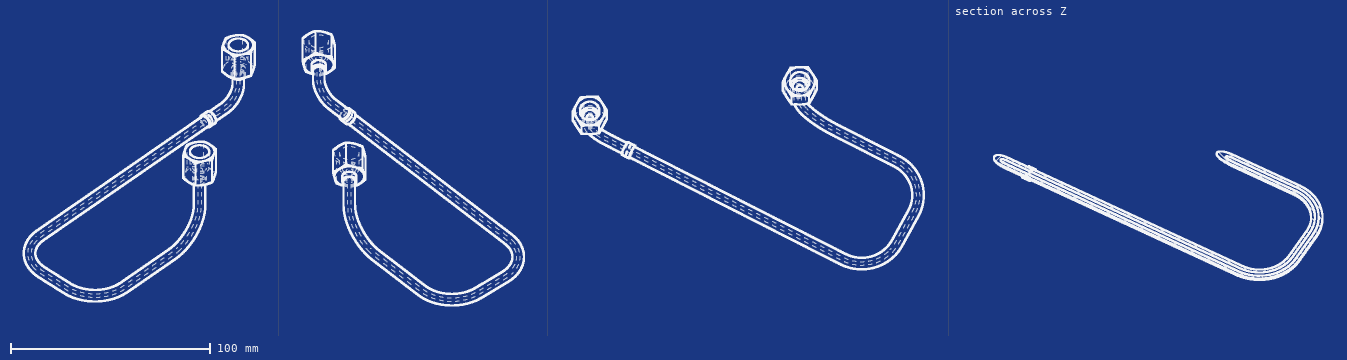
import cadquery as cq
import math


overall_width = 75.0
overall_length = 174.2
overall_height = 59.4

nut_across_flats = 15.0
nut_flat_radius = nut_across_flats / 2
nut_corner_radius = nut_across_flats / math.sqrt(3)
nut_height = 16.0
nut_bore_diameter = 9.8
nut_bore_depth = 10.5
nut_chamfer_angle = 30
seat_half_angle = 49
port_diameter = 3.1
neck_length = 3.1

pipe_diameter = 6.0
pipe_bore_diameter = 1.7
elbow_bend_radius = 10.0
pipe_bend_radius = 20.0
flange_thickness = 1.0

collar_diameter = 7.1
sleeve_length = 4.2
sleeve_start_y = -19.9
joint_y = sleeve_start_y - sleeve_length / 2

riser_spacing = overall_width - 2 * nut_corner_radius
right_riser_y = -88.6
run_end_y = nut_flat_radius + pipe_diameter / 2 - overall_length
right_nut_base_z = overall_height - collar_diameter / 2 - nut_height
nut_drop = 20.0
left_nut_base_z = right_nut_base_z - nut_drop


def union_nut(x, y, base_z):
    """Hexagonal nut with a neck below, a stepped bore and a conical seat."""
    corner_overhang = nut_corner_radius - nut_flat_radius
    chamfer_height = corner_overhang * math.tan(math.radians(nut_chamfer_angle))
    hexagon = cq.Workplane("XY").polygon(6, 2 * nut_corner_radius).extrude(nut_height)
    envelope = (
        cq.Workplane("XZ")
        .moveTo(0, 0)
        .lineTo(nut_flat_radius, 0)
        .lineTo(nut_corner_radius, chamfer_height)
        .lineTo(nut_corner_radius, nut_height - chamfer_height)
        .lineTo(nut_flat_radius, nut_height)
        .lineTo(0, nut_height)
        .close()
        .revolve(360, (0, 0, 0), (0, 1, 0))
    )
    neck = cq.Workplane("XY").circle(collar_diameter / 2).extrude(-neck_length)
    bore_floor_z = nut_height - nut_bore_depth
    seat_depth = (collar_diameter - port_diameter) / 2 / math.tan(math.radians(seat_half_angle))
    cavity = (
        cq.Workplane("XZ")
        .moveTo(0, nut_height)
        .lineTo(nut_bore_diameter / 2, nut_height)
        .lineTo(nut_bore_diameter / 2, bore_floor_z)
        .lineTo(collar_diameter / 2, bore_floor_z)
        .lineTo(port_diameter / 2, bore_floor_z - seat_depth)
        .lineTo(port_diameter / 2, -neck_length)
        .lineTo(0, -neck_length)
        .close()
        .revolve(360, (0, 0, 0), (0, 1, 0))
    )
    nut = hexagon.intersect(envelope).union(neck).cut(cavity)
    return nut.translate((x, y, base_z))


def bent_pipe(corners, bend_radius):
    """Hollow round pipe along right-angled corners, each rounded by a quarter-circle bend."""
    points = [cq.Vector(*corner) for corner in corners]
    edges = []
    start = points[0]
    for before, corner, after in zip(points, points[1:], points[2:]):
        direction_in = (corner - before).normalized()
        direction_out = (after - corner).normalized()
        bend_start = corner - direction_in * bend_radius
        bend_middle = corner + (direction_out - direction_in) * (bend_radius * (1 - math.sqrt(0.5)))
        bend_end = corner + direction_out * bend_radius
        edges.append(cq.Edge.makeLine(start, bend_start))
        edges.append(cq.Edge.makeThreePointArc(bend_start, bend_middle, bend_end))
        start = bend_end
    edges.append(cq.Edge.makeLine(start, points[-1]))
    end_plane = cq.Plane(origin=points[0].toTuple(), normal=(points[1] - points[0]).toTuple())
    profile = cq.Workplane(end_plane).circle(pipe_diameter / 2).circle(pipe_bore_diameter / 2)
    return profile.sweep(cq.Workplane(cq.Wire.assembleEdges(edges)))


def build_elbow():
    """Short bent pipe from the left nut to the middle of the sleeve, flanged under the nut."""
    top_z = left_nut_base_z - neck_length
    corners = [(0, 0, top_z), (0, 0, 0), (0, joint_y, 0)]
    flange = (
        cq.Workplane("XY", origin=(0, 0, top_z))
        .circle(collar_diameter / 2)
        .circle(pipe_bore_diameter / 2)
        .extrude(-flange_thickness)
    )
    return bent_pipe(corners, elbow_bend_radius).union(flange)


def build_pipe():
    """Long U-shaped pipe from the middle of the sleeve up to the right nut."""
    corners = [
        (0, joint_y, 0),
        (0, run_end_y, 0),
        (riser_spacing, run_end_y, 0),
        (riser_spacing, right_riser_y, 0),
        (riser_spacing, right_riser_y, right_nut_base_z - neck_length),
    ]
    return bent_pipe(corners, pipe_bend_radius)


def build_sleeve():
    """Ring around the butted ends of the elbow and the pipe."""
    return (
        cq.Workplane("XZ", origin=(0, sleeve_start_y, 0))
        .circle(collar_diameter / 2)
        .circle(pipe_diameter / 2)
        .extrude(sleeve_length)
    )


nut_places = [
    (0, 0, left_nut_base_z),
    (riser_spacing, right_riser_y, right_nut_base_z),
]
nuts = [union_nut(*place) for place in nut_places]
elbow = build_elbow()
pipe = build_pipe()
sleeve = build_sleeve()

result = cq.Compound.makeCompound(
    [*[nut.val() for nut in nuts], elbow.val(), pipe.val(), sleeve.val()]
)